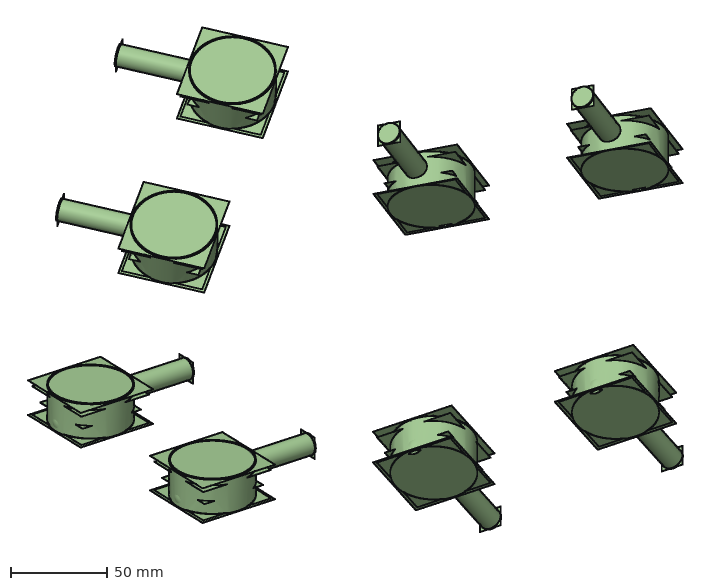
import cadquery as cq
import math

unit_pitch = 107.4
unit_count = 2

drum_radius = 22.6
drum_height = 20.2

lid_height = 0.5
lid_floor = 0.08
lid_rim_width = 0.6

handle_radius = 6.0
handle_tip_x = -62.0
handle_z = 11.2
end_plate_half_side = 6.2
end_plate_setback = 0.8

plate_thickness = 0.08
outer_half_side = 23.2
ledge_half_side = 21.7
ledge_low_z = 0.5
ledge_high_z = 16.9
middle_half_side = 18.8
middle_z = 7.8
small_half_side = 17.4
small_z = 18.2
flanges = [
    (outer_half_side, plate_thickness),
    (ledge_half_side, ledge_low_z),
    (middle_half_side, middle_z),
    (ledge_half_side, ledge_high_z),
    (small_half_side, small_z),
    (outer_half_side, drum_height),
]

button_radius = 5.5
button_z = 4.3
button_rim_x = 20.6
button_edge = 0.2
button_apex_x = 22.9


def square_plate(plane, origin, half_side):
    """Thin square plate that starts at the origin and grows along the normal of the plane."""
    side = 2 * half_side
    return cq.Workplane(plane, origin=origin).rect(side, side).extrude(plate_thickness)


def make_button():
    """Disc with a spherical outer face, turned about an axis along X."""
    dome_start = button_rim_x + button_edge
    sag = button_apex_x - dome_start
    dome_radius = (button_radius**2 + sag**2) / (2 * sag)
    mid_radius = button_radius / 2
    mid_x = button_apex_x - dome_radius + math.sqrt(dome_radius**2 - mid_radius**2)
    return (
        cq.Workplane("XY", origin=(0, 0, button_z))
        .moveTo(button_rim_x, 0)
        .lineTo(button_rim_x, button_radius)
        .lineTo(dome_start, button_radius)
        .threePointArc((mid_x, mid_radius), (button_apex_x, 0))
        .close()
        .revolve(360, (0, 0, 0), (1, 0, 0))
    )


def make_housing():
    """Drum with its square flanges and the button."""
    housing = cq.Workplane("XY").circle(drum_radius).extrude(drum_height)
    for half_side, top_z in flanges:
        housing = housing.union(square_plate("XY", (0, 0, top_z - plate_thickness), half_side))
    return housing.union(make_button())


def make_lid():
    """Disc on the drum, recessed inside its rim."""
    lid = cq.Workplane("XY", origin=(0, 0, drum_height)).circle(drum_radius).extrude(lid_height)
    recess = (
        cq.Workplane("XY", origin=(0, 0, drum_height + lid_floor))
        .circle(drum_radius - lid_rim_width)
        .extrude(lid_height)
    )
    return lid.cut(recess)


def make_handle(housing):
    """Round bar whose inner end is shaped to the housing wall."""
    bar = cq.Workplane("YZ", origin=(handle_tip_x, 0, handle_z)).circle(handle_radius).extrude(-handle_tip_x)
    plate_origin = (handle_tip_x + end_plate_setback, 0, handle_z)
    end_plate = square_plate("YZ", plate_origin, end_plate_half_side)
    return bar.union(end_plate).cut(housing)


housing = make_housing()
lid = make_lid()
handle = make_handle(housing)

bodies = []
for index in range(unit_count):
    unit_y = (index - (unit_count - 1) / 2) * unit_pitch
    for body in (housing, lid, handle):
        bodies.append(body.solids().val().translate(cq.Vector(0, unit_y, 0)))

result = cq.Compound.makeCompound(bodies)